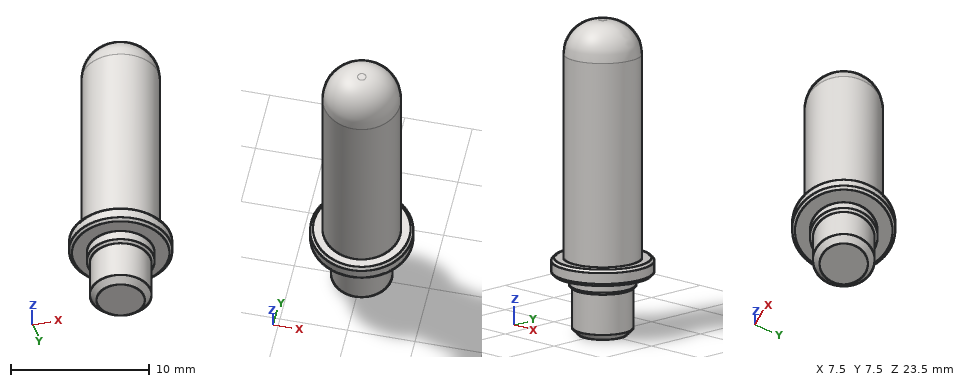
import cadquery as cq

total_height = 23.5
collar_bottom = 3.5
flange_bottom = 4.5
flange_top = 5.7

tail_diameter = 4.5
collar_diameter = 4.9
flange_diameter = 7.5
shaft_diameter = 5.7

tail_chamfer = 0.5
collar_chamfer = 0.2
flange_chamfer = 0.2
tip_flat_diameter = 0.6
dome_radius = (shaft_diameter - tip_flat_diameter) / 2


def cylinder(diameter, bottom, top):
    """Upright cylinder on the Z axis between two heights."""
    return cq.Workplane("XY").workplane(offset=bottom).circle(diameter / 2).extrude(top - bottom)


tail = cylinder(tail_diameter, 0, flange_bottom).faces("<Z").edges().chamfer(tail_chamfer)

collar = cylinder(collar_diameter, collar_bottom, flange_bottom)
collar = collar.faces("<Z").edges().chamfer(collar_chamfer)

flange = cylinder(flange_diameter, flange_bottom, flange_top)
flange = flange.faces("<Z or >Z").edges().chamfer(flange_chamfer)

shaft = cylinder(shaft_diameter, flange_top, total_height)
shaft = shaft.faces(">Z").edges().fillet(dome_radius)

result = tail.union(collar).union(flange).union(shaft)